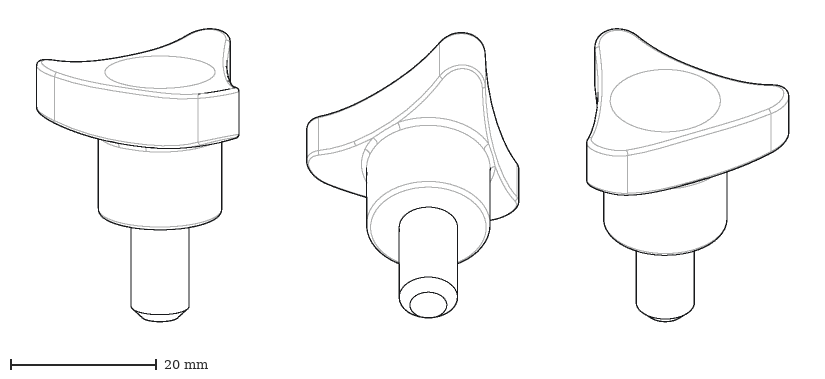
import cadquery as cq
import math

stud_diameter = 8.0
stud_length = 14.9
stud_chamfer = 1.47

hub_diameter = 17.0
hub_edge_radius = 0.55
neck_radius = 0.85

lobe_count = 3
lobe_radius = 3.53
lobe_distance = 13.45
waist_distance = 9.3
head_edge_radius = 0.5
blank_radius = lobe_distance + 2 * lobe_radius

top_flat_radius = 7.57
top_flat_height = 35.08
top_arc_radius = 23.9
under_flat_radius = 5.15
under_flat_height = 26.7
under_arc_radius = 23.15


def polar(radius, angle):
    """Point at a radius and an angle in degrees from +X."""
    return (radius * math.cos(math.radians(angle)), radius * math.sin(math.radians(angle)))


def dish_point(flat_radius, flat_height, arc_radius, radius):
    """Point of a dish profile where its arc reaches the given radius."""
    run = radius - flat_radius
    return (radius, flat_height + arc_radius - math.sqrt(arc_radius**2 - run**2))


def make_outline():
    """Convex lobes joined by tangent concave arcs."""
    pitch = 360 / lobe_count
    half_pitch = pitch / 2
    lobe_along = lobe_distance * math.cos(math.radians(half_pitch))
    lobe_across = lobe_distance * math.sin(math.radians(half_pitch))
    inset = waist_distance - lobe_along
    side_radius = (lobe_across**2 + inset**2 - lobe_radius**2) / (2 * (lobe_radius - inset))
    tangent_ratio = lobe_radius / (side_radius + lobe_radius)
    side_center = side_radius + waist_distance
    along = lobe_along + tangent_ratio * (side_center - lobe_along)
    across = lobe_across * (1 - tangent_ratio)
    tangent_radius = math.hypot(along, across)
    tangent_angle = half_pitch - math.degrees(math.atan2(across, along))

    first_lobe = 90
    outline = cq.Workplane("XY").moveTo(*polar(tangent_radius, first_lobe - tangent_angle))
    for index in range(lobe_count):
        angle = first_lobe + index * pitch
        next_angle = angle + pitch
        outline = outline.threePointArc(
            polar(lobe_distance + lobe_radius, angle),
            polar(tangent_radius, angle + tangent_angle),
        )
        outline = outline.threePointArc(
            polar(waist_distance, angle + half_pitch),
            polar(tangent_radius, next_angle - tangent_angle),
        )
    return outline.close()


def make_head():
    """Lobed prism cut to the dished top and underside, with rounded edges."""
    top = (top_flat_radius, top_flat_height, top_arc_radius)
    under = (under_flat_radius, under_flat_height, under_arc_radius)
    top_middle = (top_flat_radius + blank_radius) / 2
    under_middle = (under_flat_radius + blank_radius) / 2
    dish = (
        cq.Workplane("XZ")
        .moveTo(0, under_flat_height)
        .lineTo(under_flat_radius, under_flat_height)
        .threePointArc(dish_point(*under, under_middle), dish_point(*under, blank_radius))
        .lineTo(*dish_point(*top, blank_radius))
        .threePointArc(dish_point(*top, top_middle), (top_flat_radius, top_flat_height))
        .lineTo(0, top_flat_height)
        .close()
        .revolve(360, (0, 0), (0, 1))
    )
    prism = make_outline().extrude(2 * top_flat_height)
    head = prism.intersect(dish)
    return head.edges("%BSPLINE").fillet(head_edge_radius)


def make_hub():
    """Round hub reaching into the head."""
    hub_top = (under_flat_height + top_flat_height) / 2
    return (
        cq.Workplane("XY", origin=(0, 0, stud_length))
        .circle(hub_diameter / 2)
        .extrude(hub_top - stud_length)
        .faces("<Z")
        .edges()
        .fillet(hub_edge_radius)
    )


def make_stud():
    """Stud with a chamfered tip."""
    return (
        cq.Workplane("XY")
        .circle(stud_diameter / 2)
        .extrude(under_flat_height)
        .faces("<Z")
        .chamfer(stud_chamfer)
    )


def round_neck(body):
    """Fillet the circle where the hub meets the dished underside."""
    neck_height = dish_point(under_flat_radius, under_flat_height, under_arc_radius, hub_diameter / 2)[1]
    neck_box = cq.selectors.BoxSelector(
        (-neck_radius, -neck_radius, neck_height - neck_radius),
        (neck_radius, neck_radius, neck_height + neck_radius),
    )
    return body.edges(neck_box).fillet(neck_radius)


knob = round_neck(make_head().union(make_hub()))
result = knob.union(make_stud())